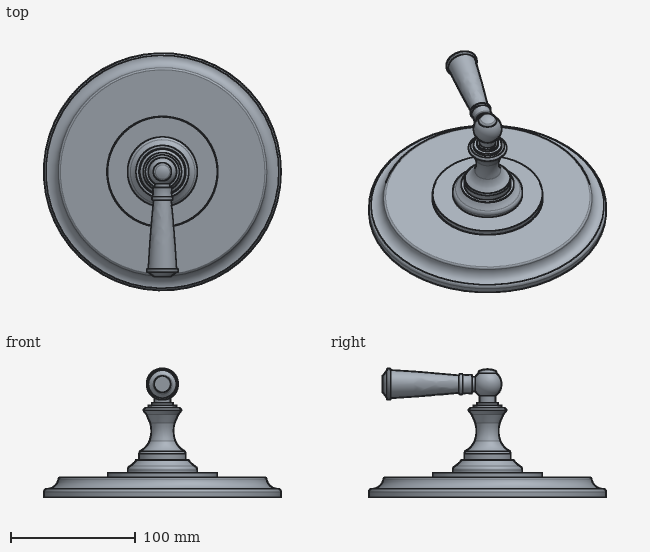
import cadquery as cq
import math

PLATE_RADIUS = 190.5 / 2
PLATE_TOP = 16.1
RIM_HEIGHT = 4.4
RIM_SHOULDER = 6.9
RIM_SHOULDER_RADIUS = 93.4
COVE_TOP = 14.7
COVE_TOP_RADIUS = 83.6
PLATE_FACE_RADIUS = 82.0
RIM_BULGE = 0.4
TOP_EDGE_BULGE = 0.3
COVE_SAG = 2.5

DISC_RADIUS = 44.0
DISC_GAP = 0.5
DISC_GAP_DEPTH = 1.0
DISC_TOP = 19.7

FOOT_RADIUS = 28.0
FOOT_WALL_TOP = 22.1
FOOT_SHOULDER = 25.1
FOOT_SHOULDER_RADIUS = 25.9
FOOT_BULGE = 0.5
FOOT_COVE_TOP = 29.5
FOOT_COVE_SAG = 0.25
FOOT_TOP = 30.1
FOOT_TOP_RADIUS = 21.2

DRUM_RADIUS = 18.8
DRUM_TOP = 35.0

COLUMN_BASE_RADIUS = 18.1
COLUMN_BASE = 36.9
COLUMN_BASE_SAG = 1.0
COLUMN_LOWER_RADIUS = 10.4
COLUMN_LOWER = 45.2
WAIST_RADIUS = 9.05
WAIST = 53.0
COLUMN_UPPER_RADIUS = 9.9
COLUMN_UPPER = 59.6
FLARE_RADIUS = 12.9
FLARE = 66.4
BEAD_RADIUS = 15.4
BEAD_BOTTOM = 69.6
BEAD_TOP = 71.8
BEAD_TOP_RADIUS = 13.6
BEAD_BULGE = 0.3

LOWER_COLLAR_RADIUS = 11.4
LOWER_COLLAR_TOP = 73.7
UPPER_COLLAR_RADIUS = 8.6
UPPER_COLLAR_TOP = 75.8
NECK_RADIUS = 6.6

TOTAL_HEIGHT = 103.43
FLANGE_RADIUS = 12.7
LEVER_AXIS = TOTAL_HEIGHT - FLANGE_RADIUS

BALL_RADIUS = 11.4
CAP_RADIUS = 7.3
CAP_WALL_TOP = 99.9
CAP_SHOULDER = 101.7
CAP_SHOULDER_RADIUS = 5.8
CAP_BULGE = 0.4
CAP_TOP = 102.9

STEM_RADIUS = 5.95
FERRULE_START = 12.4
FERRULE_RADIUS = 7.7
FERRULE_ROUND = 0.8
FERRULE_SAG = 0.25
FERRULE_END = 20.0
RING_END = 22.9
RING_CREST_RADIUS = 8.5
GRIP_START_RADIUS = 7.1
GRIP_END = 77.6
GRIP_END_RADIUS = 11.4
GRIP_BULGE = 0.3
FLANGE_END = 80.7
FLANGE_ROUND = 1.1
FLANGE_FACE_RADIUS = 11.2
BUTTON_START = 83.3
BUTTON_RADIUS = 7.6
BUTTON_FACE_RADIUS = 6.6
LEVER_END = 84.2


def bowed_point(start, end, offset):
    """Point beside the middle of start-end, shifted by offset to the right of the direction of travel."""
    run = end[0] - start[0]
    rise = end[1] - start[1]
    length = math.hypot(run, rise)
    return (
        (start[0] + end[0]) / 2 + offset * rise / length,
        (start[1] + end[1]) / 2 - offset * run / length,
    )


def bowed_arc(profile, start, end, offset):
    """Continue profile from start along an arc to end; positive offset bows it to the right."""
    return profile.threePointArc(bowed_point(start, end, offset), end)


def revolve_about_vertical(profile):
    """Close a (radius, along-axis) profile and turn it about the sketch's vertical axis."""
    return profile.close().revolve(360, (0, 0, 0), (0, 1, 0))


def make_plate():
    """Round plate with a coved border and the raised indicator disc in its clearance groove."""
    rim_edge = (PLATE_RADIUS, RIM_HEIGHT)
    cove_bottom = (RIM_SHOULDER_RADIUS, RIM_SHOULDER)
    cove_top = (COVE_TOP_RADIUS, COVE_TOP)
    face_edge = (PLATE_FACE_RADIUS, PLATE_TOP)
    gap_floor = PLATE_TOP - DISC_GAP_DEPTH

    profile = cq.Workplane("XZ").lineTo(PLATE_RADIUS, 0).lineTo(*rim_edge)
    profile = bowed_arc(profile, rim_edge, cove_bottom, RIM_BULGE)
    profile = bowed_arc(profile, cove_bottom, cove_top, -COVE_SAG)
    profile = bowed_arc(profile, cove_top, face_edge, TOP_EDGE_BULGE)
    profile = (
        profile.lineTo(DISC_RADIUS + DISC_GAP, PLATE_TOP)
        .lineTo(DISC_RADIUS + DISC_GAP, gap_floor)
        .lineTo(DISC_RADIUS, gap_floor)
        .lineTo(DISC_RADIUS, DISC_TOP)
        .lineTo(0, DISC_TOP)
    )
    return revolve_about_vertical(profile)


def make_pedestal():
    """Turned foot, drum, waisted column, collars and neck up to the ball centre."""
    foot_edge = (FOOT_RADIUS, FOOT_WALL_TOP)
    foot_shoulder = (FOOT_SHOULDER_RADIUS, FOOT_SHOULDER)
    foot_cove_top = (FOOT_TOP_RADIUS, FOOT_COVE_TOP)
    column_base = (COLUMN_BASE_RADIUS, COLUMN_BASE)
    column_lower = (COLUMN_LOWER_RADIUS, COLUMN_LOWER)
    bead_bottom = (BEAD_RADIUS, BEAD_BOTTOM)
    bead_top = (BEAD_TOP_RADIUS, BEAD_TOP)

    profile = cq.Workplane("XZ").lineTo(FOOT_RADIUS, 0).lineTo(*foot_edge)
    profile = bowed_arc(profile, foot_edge, foot_shoulder, FOOT_BULGE)
    profile = bowed_arc(profile, foot_shoulder, foot_cove_top, -FOOT_COVE_SAG)
    profile = (
        profile.lineTo(FOOT_TOP_RADIUS, FOOT_TOP)
        .lineTo(DRUM_RADIUS, FOOT_TOP)
        .lineTo(DRUM_RADIUS, DRUM_TOP)
        .lineTo(*column_base)
    )
    profile = bowed_arc(profile, column_base, column_lower, -COLUMN_BASE_SAG)
    profile = (
        profile.threePointArc((WAIST_RADIUS, WAIST), (COLUMN_UPPER_RADIUS, COLUMN_UPPER))
        .lineTo(FLARE_RADIUS, FLARE)
        .lineTo(*bead_bottom)
    )
    profile = bowed_arc(profile, bead_bottom, bead_top, BEAD_BULGE)
    profile = (
        profile.lineTo(LOWER_COLLAR_RADIUS, BEAD_TOP)
        .lineTo(LOWER_COLLAR_RADIUS, LOWER_COLLAR_TOP)
        .lineTo(UPPER_COLLAR_RADIUS, LOWER_COLLAR_TOP)
        .lineTo(UPPER_COLLAR_RADIUS, UPPER_COLLAR_TOP)
        .lineTo(NECK_RADIUS, UPPER_COLLAR_TOP)
        .lineTo(NECK_RADIUS, LEVER_AXIS)
        .lineTo(0, LEVER_AXIS)
    )
    return revolve_about_vertical(profile)


def make_ball():
    """Ball at the top of the neck with a small domed cap."""
    ball = cq.Workplane("XY").sphere(BALL_RADIUS).translate((0, 0, LEVER_AXIS))

    wall_top = (CAP_RADIUS, CAP_WALL_TOP)
    shoulder = (CAP_SHOULDER_RADIUS, CAP_SHOULDER)
    cap = (
        cq.Workplane("XZ")
        .moveTo(0, LEVER_AXIS)
        .lineTo(CAP_RADIUS, LEVER_AXIS)
        .lineTo(*wall_top)
    )
    cap = bowed_arc(cap, wall_top, shoulder, CAP_BULGE)
    dome_rise = CAP_TOP - CAP_SHOULDER
    dome_radius = (CAP_SHOULDER_RADIUS**2 + dome_rise**2) / (2 * dome_rise)
    dome_angle = math.asin(CAP_SHOULDER_RADIUS / dome_radius) / 2
    dome_middle = (
        dome_radius * math.sin(dome_angle),
        CAP_TOP - dome_radius * (1 - math.cos(dome_angle)),
    )
    cap = cap.threePointArc(dome_middle, (0, CAP_TOP))
    return ball.union(revolve_about_vertical(cap))


def make_lever():
    """Turned lever pointing along -Y: stem, ferrule, ring, swelling grip and end flange."""
    grip_start = (GRIP_START_RADIUS, -RING_END)
    grip_end = (GRIP_END_RADIUS, -GRIP_END)
    ring_crest = (RING_CREST_RADIUS, -(FERRULE_END + RING_END) / 2)
    ferrule_front = (FERRULE_RADIUS, -FERRULE_START - FERRULE_ROUND)
    ferrule_back = (FERRULE_RADIUS, -FERRULE_END)
    inset_ratio = 1 - math.sqrt(0.5)
    ferrule_inset = FERRULE_ROUND * inset_ratio
    corner_inset = FLANGE_ROUND * inset_ratio

    profile = (
        cq.Workplane("XY")
        .lineTo(STEM_RADIUS, 0)
        .lineTo(STEM_RADIUS, -FERRULE_START)
        .lineTo(FERRULE_RADIUS - FERRULE_ROUND, -FERRULE_START)
        .threePointArc(
            (FERRULE_RADIUS - ferrule_inset, -FERRULE_START - ferrule_inset), ferrule_front
        )
    )
    profile = bowed_arc(profile, ferrule_front, ferrule_back, FERRULE_SAG)
    profile = profile.threePointArc(ring_crest, grip_start)
    profile = bowed_arc(profile, grip_start, grip_end, -GRIP_BULGE)
    profile = (
        profile.lineTo(FLANGE_RADIUS - FLANGE_ROUND, -GRIP_END)
        .threePointArc(
            (FLANGE_RADIUS - corner_inset, -GRIP_END - corner_inset),
            (FLANGE_RADIUS, -GRIP_END - FLANGE_ROUND),
        )
        .lineTo(FLANGE_RADIUS, -FLANGE_END + FLANGE_ROUND)
        .threePointArc(
            (FLANGE_RADIUS - corner_inset, -FLANGE_END + corner_inset),
            (FLANGE_RADIUS - FLANGE_ROUND, -FLANGE_END),
        )
        .lineTo(FLANGE_FACE_RADIUS, -FLANGE_END)
        .lineTo(BUTTON_RADIUS, -BUTTON_START)
        .lineTo(BUTTON_FACE_RADIUS, -LEVER_END)
        .lineTo(0, -LEVER_END)
    )
    return revolve_about_vertical(profile).translate((0, 0, LEVER_AXIS))


result = make_plate().union(make_pedestal()).union(make_ball()).union(make_lever())